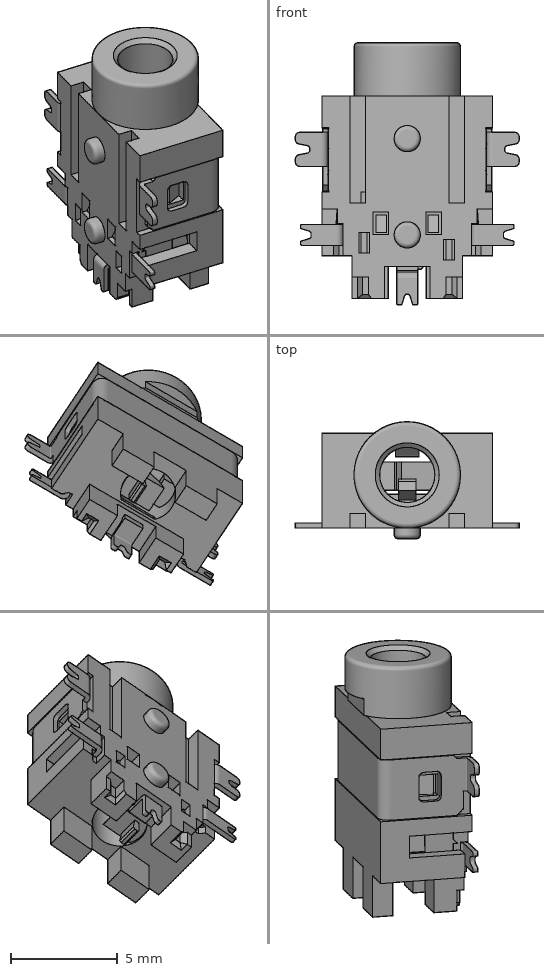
import cadquery as cq


body_width = 8.0
body_depth = 4.45
body_height = 7.5
leg_span = 5.19
leg_bottom = -9.51
front_leg_depth = 1.48
rear_leg_depth = 0.98
front_leg_gap = 2.12
rear_leg_gap = 1.77
front_web_bottom = -8.01

neck_diameter = 4.99
neck_radius = neck_diameter / 2
neck_height = 2.5
neck_rounding = 0.2
neck_relief_y = 4.55
neck_relief_height = 0.8
bore_radius = 1.29
bore_chamfer = 0.21

peg_diameter = 1.23
peg_length = 0.5
peg_rounding = 0.2
peg_heights = [-2.0, -6.52]

groove_inner_x = 1.95
groove_width = 0.73
groove_depth = 0.68
groove_length = 5.02
groove_step_width = 0.21
groove_step_height = 0.5
groove_step_depth = 0.25

recess_top = -1.5
recess_bottom = -4.5
recess_floor_x = 3.69
recess_corner_radius = 0.31
bracket_clearance = 0.04
bracket_top = recess_top - bracket_clearance
bracket_bottom = recess_bottom + bracket_clearance
bracket_inner_x = recess_floor_x + bracket_clearance
sheet = 0.25
bend_radius = 0.3
bracket_outer_x = bracket_inner_x + sheet
bracket_corner_radius = recess_corner_radius + sheet
recess_back_y = body_depth - sheet
bracket_front_y = 0.43
bracket_top_step = 0.3
bracket_top_corner = 0.17
bracket_bottom_corner = 0.3
window_y = 2.04
window_z = -2.98
window_depth = 1.08
window_height = 1.44
window_rounding = 0.25
side_hole_depth = 0.91
side_hole_height = 1.03
side_hole_length = 0.43
side_hole_ridge_offset = 0.2
side_hole_ridge_length = 0.06

bracket_tab_reach = 5.25
bracket_tab_width = 1.61
bracket_tab_z = -2.51
bracket_tab_leg = 0.62
bracket_fork = {"depth": 0.68, "mouth": 0.28, "valley": 0.15, "tip_rounding": 0.22, "valley_rounding": 0.14}
side_tab_root_x = 3.0
side_tab_reach = 5.0
side_tab_width = 1.0
side_tab_z = -6.52
side_tab_leg = 0.73
side_fork = {"depth": 0.49, "mouth": 0.3, "valley": 0.15, "tip_rounding": 0.07, "valley_rounding": 0.12}
bottom_tab_root_z = -8.27
overall_height = 12.3
bottom_tab_tip_z = neck_height - overall_height
bottom_tab_leg = 1.23
bottom_fork = {"depth": 0.49, "mouth": 0.26, "valley": 0.1, "tip_rounding": 0.07, "valley_rounding": 0.07}
riser_foot = 0.07

side_slot_floor_x = 3.26
side_slot_top = -5.3
side_slot_bottom = -6.36
side_slot_back_y = 3.05
terminal_notch_top = -5.98
terminal_notch_depth = 0.36
terminal_groove_slope = (3.21, 3.46)
terminal_groove_depth = 0.6
terminal_groove_height = 0.5

side_pad_y = 2.51
side_pad_depth = 0.79
side_pad_height = 0.91
side_pad_low_thickness = 0.1
side_pad_high_thickness = 0.04
side_plate_thickness = 0.02
side_plate_front_y = 0.73
side_plate_corner = 0.21
entry_contact_width = 0.81
entry_contact_bottom = -5.66
entry_contact_root_y = 1.11
entry_contact_slope = [(1.33, -5.17), (1.76, -3.94), (2.19, -4.24), (2.3, -4.43)]
rear_rib_width = 1.11
rear_rib_y = 3.35
rear_rib_height = 0.62
rear_rib_foot = 0.06
rear_rib_embed = 0.12
left_contact_x = -0.59
left_contact_tip_x = -0.5
left_contact_top = -5.41
left_contact_height = 0.74
left_contact_chamfer = 0.09
right_contact_bend = (-0.26, -6.89)
right_contact_tip_x = -0.5
right_contact_top = -5.66
contact_root_x = 1.41
contact_y_range = (1.77, 3.11)
right_contact_height = 1.72
floor_ledge_width = 1.87
floor_ledge_y = 1.6
floor_ledge_thickness = 0.25
bottom_nub_outer_x = 0.74
bottom_nub_width = 0.35
bottom_nub_slope = 0.22
bottom_nub_chamfer = 0.09
bottom_nub_y_range = (1.98, 2.98)
bottom_nub_bottom = -8.13
bottom_nub_top = -6.52

contact_window_inner_x = 0.89
contact_window_outer_x = 1.61
contact_window_bottom = -6.51
contact_window_top = -5.44
contact_window_depth = 0.74
contact_window_pad_low_thickness = 0.55
contact_window_pad_high_thickness = 0.12
contact_window_margin = 0.1
contact_window_wide_margin = 0.15
rib_slot_size = (0.5, 0.95)
rib_slot_depth = 0.74
rib_slot_ledge_depth = 0.37
rib_slot_ledge_width = 0.11
rib_slot_centers = [(-2.02, -6.89), (1.95, -7.22)]

key_notch_inner_x = 1.82
key_notch_top = -8.5
key_notch_depth = 0.36
key_groove_slope = (2.1, 2.34)
key_groove_depth = 0.6
key_mouth_range = (1.67, 2.34)
key_mouth_depth = 0.8
key_mouth_height = 0.2


def block(x_range, y_range, z_range):
    """Box given by its two limits along each axis."""
    limits = [x_range, y_range, z_range]
    sizes = [high - low for low, high in limits]
    middles = [(high + low) / 2 for low, high in limits]
    return cq.Workplane("XY").box(*sizes).translate(tuple(middles))


def prism_along_x(profile, x_range):
    """Prism along X with a (Y, Z) outline."""
    start, end = x_range
    return cq.Workplane("YZ", origin=(start, 0, 0)).polyline(profile).close().extrude(end - start)


def prism_along_y(profile, y_range):
    """Prism along Y with an (X, Z) outline."""
    start, end = y_range
    return cq.Workplane("XZ", origin=(0, start, 0)).polyline(profile).close().extrude(start - end)


def prism_along_z(profile, z_range):
    """Prism along Z with an (X, Y) outline."""
    start, end = z_range
    return cq.Workplane("XY", origin=(0, 0, start)).polyline(profile).close().extrude(end - start)


def both_sides(shape):
    """The shape together with its mirror image across X = 0."""
    return shape.union(shape.mirror("YZ"))


def terminal(reach, width, leg, fork):
    """Bent sheet strip: a leg along +Y at X = 0, then a tab along +X that ends in a fork."""
    inner_radius = bend_radius - sheet
    diagonal = 0.5 ** 0.5
    strip = (
        cq.Workplane("XY")
        .moveTo(0, leg)
        .lineTo(0, bend_radius)
        .threePointArc((bend_radius * (1 - diagonal), bend_radius * (1 - diagonal)), (bend_radius, 0))
        .lineTo(reach, 0)
        .lineTo(reach, sheet)
        .lineTo(bend_radius, sheet)
        .threePointArc(
            (bend_radius - inner_radius * diagonal, bend_radius - inner_radius * diagonal),
            (sheet, bend_radius),
        )
        .lineTo(sheet, leg)
        .close()
        .extrude(width / 2, both=True)
    )
    valley_x = reach - fork["depth"]
    notch = (
        cq.Workplane("XZ")
        .polyline([
            (valley_x, -fork["valley"]),
            (reach, -fork["mouth"]),
            (reach, fork["mouth"]),
            (valley_x, fork["valley"]),
        ])
        .close()
        .extrude(-sheet)
        .edges("|Y and <X")
        .fillet(fork["valley_rounding"])
    )
    return strip.cut(notch).edges("|Y and >X").fillet(fork["tip_rounding"])


def housing_block():
    half_span = leg_span / 2
    body = block((-body_width / 2, body_width / 2), (0, body_depth), (-body_height, 0))
    front_legs = block((-half_span, half_span), (0, front_leg_depth), (leg_bottom, -body_height))
    front_gap = block(
        (-front_leg_gap / 2, front_leg_gap / 2), (0, front_leg_depth), (leg_bottom, front_web_bottom)
    )
    rear_start = body_depth - rear_leg_depth
    rear_legs = block((-half_span, half_span), (rear_start, body_depth), (leg_bottom, -body_height))
    rear_gap = block(
        (-rear_leg_gap / 2, rear_leg_gap / 2), (rear_start, body_depth), (leg_bottom, -body_height)
    )
    return body.union(front_legs.cut(front_gap)).union(rear_legs.cut(rear_gap))


def neck():
    tube = (
        cq.Workplane("XY")
        .center(0, neck_radius)
        .circle(neck_radius)
        .extrude(neck_height)
        .faces(">Z")
        .edges()
        .fillet(neck_rounding)
    )
    relief = block((-neck_radius, neck_radius), (neck_relief_y, neck_diameter), (0, neck_relief_height))
    return tube.cut(relief)


def bore():
    hole = (
        cq.Workplane("XY", origin=(0, neck_radius, -body_height))
        .circle(bore_radius)
        .extrude(body_height + neck_height)
    )
    mouth = cq.Workplane("XY").add(
        cq.Solid.makeCone(
            bore_radius,
            bore_radius + bore_chamfer,
            bore_chamfer,
            pnt=cq.Vector(0, neck_radius, neck_height - bore_chamfer),
        )
    )
    return hole.union(mouth)


def peg(height):
    return (
        cq.Workplane("XZ", origin=(0, 0, height))
        .circle(peg_diameter / 2)
        .extrude(peg_length)
        .faces("<Y")
        .edges()
        .fillet(peg_rounding)
    )


def front_grooves():
    groove_outer_x = groove_inner_x + groove_width
    grooves = both_sides(block((groove_inner_x, groove_outer_x), (0, groove_depth), (-groove_length, 0)))
    step = block(
        (-groove_inner_x - groove_step_width, -groove_inner_x),
        (groove_depth, groove_depth + groove_step_depth),
        (-groove_length, -groove_length + groove_step_height),
    )
    return grooves.union(step)


def wrap_solid(half_width, depth, corner_radius, bottom, top):
    """Block with rounded rear corners."""
    return block((-half_width, half_width), (0, depth), (bottom, top)).edges("|Z and >Y").fillet(corner_radius)


def bracket_recess():
    around = block((-body_width / 2, body_width / 2), (0, body_depth), (recess_bottom, recess_top))
    core = wrap_solid(recess_floor_x, recess_back_y, recess_corner_radius, recess_bottom, recess_top)
    return around.cut(core)


def side_holes():
    """Blind holes behind the bracket windows, each with a floor sloping up to a ridge."""
    rear_y = window_y + side_hole_depth / 2
    front_y = window_y - side_hole_depth / 2
    ridge_y = front_y + side_hole_ridge_offset
    floor_x = recess_floor_x - side_hole_length
    outline = [
        (recess_floor_x, rear_y),
        (floor_x, rear_y),
        (recess_floor_x - side_hole_ridge_length, ridge_y),
        (floor_x, ridge_y),
        (floor_x, front_y),
        (recess_floor_x, front_y),
    ]
    bottom_z = window_z - side_hole_height / 2
    return both_sides(prism_along_z(outline, (bottom_z, bottom_z + side_hole_height)))


def sloped_groove(inner_x, slope_range, depth_range, z_range):
    """Groove along Z whose outer wall slopes from the deep level up to the shallow level."""
    slope_start, slope_end = slope_range
    shallow, deep = depth_range
    profile = [(inner_x, 0), (slope_end, 0), (slope_end, shallow), (slope_start, deep), (inner_x, deep)]
    return prism_along_z(profile, z_range)


def side_pockets():
    """Contact slot, terminal notch and drain groove on both sides."""
    side_x = body_width / 2
    slot = block((side_slot_floor_x, side_x), (0, side_slot_back_y), (side_slot_bottom, side_slot_top))
    notch = block((side_tab_root_x, side_x), (0, terminal_notch_depth), (-body_height, terminal_notch_top))
    groove = sloped_groove(
        side_tab_root_x,
        terminal_groove_slope,
        (terminal_notch_depth, terminal_groove_depth),
        (-body_height, -body_height + terminal_groove_height),
    )
    return both_sides(slot.union(notch).union(groove))


def side_pads():
    """Sloped contact ends standing on the slot floors."""
    middle_z = (side_slot_top + side_slot_bottom) / 2
    low_z = middle_z - side_pad_height / 2
    high_z = middle_z + side_pad_height / 2
    profile = [
        (side_slot_floor_x, low_z),
        (side_slot_floor_x + side_pad_low_thickness, low_z),
        (side_slot_floor_x + side_pad_high_thickness, high_z),
        (side_slot_floor_x, high_z),
    ]
    return both_sides(
        prism_along_y(profile, (side_pad_y - side_pad_depth / 2, side_pad_y + side_pad_depth / 2))
    )


def side_plates():
    """Thin contact plates lying on the slot floors, each with a corner reaching towards its side terminal."""
    tab_top = side_tab_z + side_tab_width / 2
    outline = [
        (side_slot_back_y, side_slot_bottom),
        (side_slot_back_y, side_slot_top),
        (side_plate_front_y, side_slot_top),
        (side_plate_front_y, tab_top + side_plate_corner),
        (side_plate_front_y - side_plate_corner, tab_top),
        (side_plate_front_y, tab_top),
        (side_plate_front_y, side_slot_bottom),
    ]
    plate_range = (side_slot_floor_x, side_slot_floor_x + side_plate_thickness)
    return both_sides(prism_along_x(outline, plate_range))


def contact_windows():
    """Pair of front windows with a sloped contact face at the back of each."""
    window = block(
        (contact_window_inner_x, contact_window_outer_x),
        (0, contact_window_depth),
        (contact_window_bottom, contact_window_top),
    )
    low_z = contact_window_bottom + contact_window_margin
    high_z = contact_window_top - contact_window_wide_margin
    pad_profile = [
        (contact_window_depth, low_z),
        (contact_window_depth - contact_window_pad_low_thickness, low_z),
        (contact_window_depth - contact_window_pad_high_thickness, high_z),
        (contact_window_depth, high_z),
    ]
    pad_range = (
        contact_window_inner_x + contact_window_margin,
        contact_window_outer_x - contact_window_wide_margin,
    )
    return both_sides(window.cut(prism_along_x(pad_profile, pad_range)))


def rib_slot(center):
    """Blind slot with a narrow ledge along each long side."""
    x, z = center
    width, height = rib_slot_size
    z_range = (z - height / 2, z + height / 2)
    inner_half = width / 2 - rib_slot_ledge_width
    mouth = block((x - width / 2, x + width / 2), (0, rib_slot_ledge_depth), z_range)
    deep = block((x - inner_half, x + inner_half), (0, rib_slot_depth), z_range)
    return mouth.union(deep)


def key_notches():
    """Corner notches of the front legs, each with a groove and a flared mouth at its lower end."""
    leg_edge = leg_span / 2
    mouth_top = leg_bottom + key_mouth_height
    notch = block((key_notch_inner_x, leg_edge), (0, key_notch_depth), (leg_bottom, key_notch_top))
    groove = sloped_groove(
        key_notch_inner_x, key_groove_slope, (key_notch_depth, key_groove_depth), (leg_bottom, key_notch_top)
    )
    mouth_inner, mouth_outer = key_mouth_range
    mouth_profile = [
        (mouth_inner, leg_bottom),
        (mouth_outer, leg_bottom),
        (key_groove_slope[0], mouth_top),
        (key_notch_inner_x, mouth_top),
    ]
    mouth = prism_along_y(mouth_profile, (0, key_mouth_depth))
    floor_slope = prism_along_x(
        [(0, leg_bottom), (key_mouth_depth, leg_bottom), (key_groove_depth, mouth_top), (0, mouth_top)],
        key_mouth_range,
    )
    return both_sides(notch.union(groove).union(mouth.intersect(floor_slope)))


def entry_contact():
    """Centre contact on the front wall of the bore, rising to a ridge and falling towards its tip."""
    start_z = entry_contact_slope[0][1]
    tip_y = entry_contact_slope[-1][0]
    profile = [
        (entry_contact_root_y, start_z),
        *entry_contact_slope,
        (tip_y, entry_contact_bottom),
        (entry_contact_root_y, entry_contact_bottom),
    ]
    return prism_along_x(profile, (-entry_contact_width / 2, entry_contact_width / 2))


def rear_rib():
    """Rib on the rear wall of the bore, with a face sloping inwards to a flat foot."""
    root_y = neck_radius + bore_radius + rear_rib_embed
    foot_top = recess_bottom + rear_rib_foot
    profile = [
        (root_y, foot_top + rear_rib_height),
        (rear_rib_y + rear_rib_foot, foot_top),
        (rear_rib_y, recess_bottom),
        (root_y, recess_bottom),
    ]
    return prism_along_x(profile, (-rear_rib_width / 2, rear_rib_width / 2))


def left_contact():
    """Flat contact on the left wall of the bore with a chamfered tip."""
    bottom = left_contact_top - left_contact_height
    profile = [
        (-contact_root_x, left_contact_top),
        (left_contact_x, left_contact_top),
        (left_contact_tip_x, left_contact_top - left_contact_chamfer),
        (left_contact_tip_x, bottom),
        (-contact_root_x, bottom),
    ]
    return prism_along_y(profile, contact_y_range)


def right_contact():
    """Contact blade leaning from the right wall across the bore."""
    bottom = right_contact_top - right_contact_height
    profile = [
        (contact_root_x, right_contact_top),
        (contact_root_x, bottom),
        (right_contact_tip_x, bottom),
        right_contact_bend,
    ]
    return prism_along_y(profile, contact_y_range)


def floor_ledge():
    """Ledge across the front of the bore at its lower end."""
    return block(
        (-floor_ledge_width / 2, floor_ledge_width / 2),
        (entry_contact_root_y, floor_ledge_y),
        (-body_height, -body_height + floor_ledge_thickness),
    )


def bottom_nub():
    """Leaning lower end of the right contact, hanging below the body."""
    inner_x = bottom_nub_outer_x - bottom_nub_width
    chamfer_top = bottom_nub_bottom + bottom_nub_chamfer
    profile = [
        (inner_x + bottom_nub_slope, bottom_nub_top),
        (inner_x, chamfer_top),
        (inner_x + bottom_nub_chamfer, bottom_nub_bottom),
        (bottom_nub_outer_x - bottom_nub_chamfer, bottom_nub_bottom),
        (bottom_nub_outer_x, chamfer_top),
        (bottom_nub_outer_x, bottom_nub_top),
    ]
    return prism_along_y(profile, bottom_nub_y_range)


def side_terminals():
    tab = terminal(side_tab_reach - side_tab_root_x, side_tab_width, side_tab_leg, side_fork)
    return both_sides(tab.translate((side_tab_root_x, 0, side_tab_z)))


def bottom_terminal():
    """Centre terminal below the front web, with a riser joining it to the web."""
    tab = terminal(bottom_tab_root_z - bottom_tab_tip_z, side_tab_width, bottom_tab_leg, bottom_fork)
    tab = tab.rotate((0, 0, 0), (0, 1, 0), 90).translate((0, 0, bottom_tab_root_z))
    riser_front = bottom_tab_leg - sheet
    riser_outline = [
        (bottom_tab_leg, bottom_tab_root_z - sheet),
        (bottom_tab_leg, front_web_bottom),
        (riser_front, front_web_bottom),
        (riser_front, bottom_tab_root_z + riser_foot),
        (riser_front - riser_foot, bottom_tab_root_z),
        (riser_front - riser_foot, bottom_tab_root_z - sheet),
    ]
    riser = prism_along_x(riser_outline, (-side_tab_width / 2, side_tab_width / 2))
    return tab.union(riser)


def make_housing():
    housing = housing_block().union(neck())
    for cutter in [bore(), front_grooves(), bracket_recess(), side_holes(), side_pockets()]:
        housing = housing.cut(cutter)
    housing = housing.cut(contact_windows()).cut(key_notches())
    for center in rib_slot_centers:
        housing = housing.cut(rib_slot(center))
    for height in peg_heights:
        housing = housing.union(peg(height))
    for part in [entry_contact(), rear_rib(), left_contact(), right_contact(), bottom_nub(), floor_ledge()]:
        housing = housing.union(part)
    for part in [side_pads(), side_plates(), side_terminals(), bottom_terminal()]:
        housing = housing.union(part)
    return housing


def make_bracket():
    """U-shaped sheet bracket wrapped around the rear, with a solder terminal on each side."""
    shell = wrap_solid(
        bracket_outer_x, body_depth, bracket_corner_radius, bracket_bottom, bracket_top
    ).cut(wrap_solid(bracket_inner_x, recess_back_y, recess_corner_radius, bracket_bottom, bracket_top))
    tab_top = bracket_tab_z + bracket_tab_width / 2
    tab_bottom = bracket_tab_z - bracket_tab_width / 2
    side_outline = [
        (body_depth, bracket_top),
        (bracket_front_y + bracket_top_step + bracket_top_corner, bracket_top),
        (bracket_front_y + bracket_top_step, tab_top),
        (bend_radius, tab_top),
        (bend_radius, tab_bottom),
        (bracket_front_y, tab_bottom),
        (bracket_front_y, bracket_bottom + bracket_bottom_corner),
        (bracket_front_y + bracket_bottom_corner, bracket_bottom),
        (body_depth, bracket_bottom),
    ]
    shell = shell.intersect(prism_along_x(side_outline, (-bracket_outer_x, bracket_outer_x)))
    window = (
        block(
            (-bracket_outer_x, bracket_outer_x),
            (window_y - window_depth / 2, window_y + window_depth / 2),
            (window_z - window_height / 2, window_z + window_height / 2),
        )
        .edges("|X")
        .fillet(window_rounding)
    )
    tab = terminal(bracket_tab_reach - bracket_inner_x, bracket_tab_width, bracket_tab_leg, bracket_fork)
    tabs = both_sides(tab.translate((bracket_inner_x, 0, bracket_tab_z)))
    return shell.cut(window).union(tabs)


housing = make_housing()
bracket = make_bracket()
result = cq.Compound.makeCompound([housing.val(), bracket.val()])